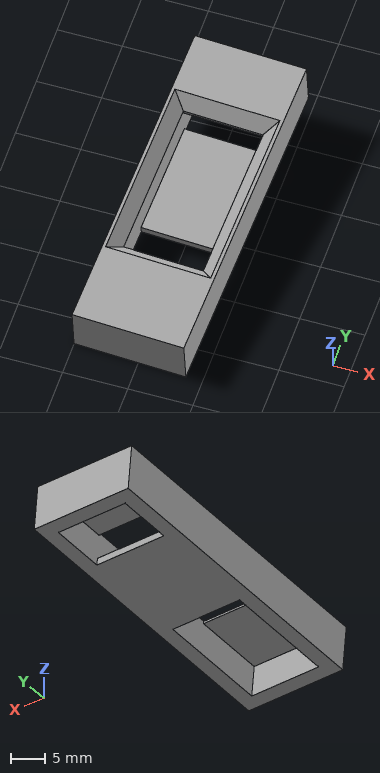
import cadquery as cq

LENGTH = 51.0
WIDTH = 17.5
HEIGHT = 8.0
TILT_ABOUT_X = 6
TURN_ABOUT_Z = -3

WINDOW_LENGTH = 28.75
WINDOW_WIDTH = 16.4
WINDOW_START = 12.6
BEVEL = 2.0
LIP = 0.5

WALL = (WIDTH - WINDOW_WIDTH) / 2 + BEVEL
CHAMBER_HEIGHT = HEIGHT - BEVEL - LIP

PLATE_START = 21.3
PLATE_LENGTH = 18.0
PLATE_THICKNESS = 1.25


def centred_box(width, length, height, y_start, z_start):
    """Box centred on X, starting at the given Y and Z."""
    box = cq.Workplane("XY").box(width, length, height, centered=(True, False, False))
    return box.translate((0, y_start, z_start))


def window():
    """Bevelled frame opening and the straight lip below it."""
    inner_width = WINDOW_WIDTH - 2 * BEVEL
    inner_length = WINDOW_LENGTH - 2 * BEVEL
    frame = (
        cq.Workplane("XY")
        .rect(WINDOW_WIDTH, WINDOW_LENGTH)
        .workplane(offset=-BEVEL)
        .rect(inner_width, inner_length)
        .loft(ruled=True)
        .translate((0, WINDOW_START + WINDOW_LENGTH / 2, HEIGHT))
    )
    lip = centred_box(inner_width, inner_length, LIP, WINDOW_START + BEVEL, CHAMBER_HEIGHT)
    return frame.union(lip)


block = centred_box(WIDTH, LENGTH, HEIGHT, 0, 0)
chamber = centred_box(WIDTH - 2 * WALL, LENGTH - 2 * WALL, CHAMBER_HEIGHT, WALL, 0)
plate = centred_box(WIDTH - 2 * WALL, PLATE_LENGTH, PLATE_THICKNESS, PLATE_START, 0)
housing = block.cut(chamber).cut(window()).union(plate)

result = (
    housing.translate((0, -LENGTH / 2, -HEIGHT / 2))
    .rotate((0, 0, 0), (1, 0, 0), TILT_ABOUT_X)
    .rotate((0, 0, 0), (0, 0, 1), TURN_ABOUT_Z)
)